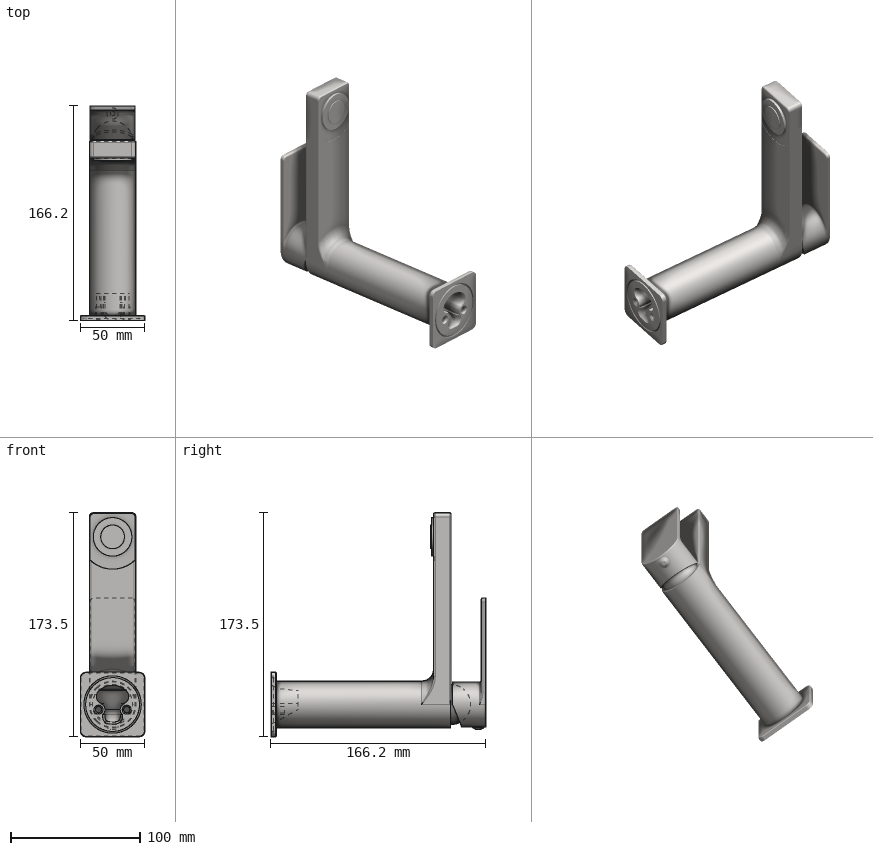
import cadquery as cq
import math

overall_y = 166.2
overall_z = 173.5

plate_side = 50.0
plate_thickness = 4.0
plate_corner_radius = 4.5
plate_chamfer = 0.5
groove_inner_radius = 20.8
groove_outer_radius = 22.2
groove_depth = 1.7

recess_radius = 15.0
recess_depth = 20.8
recess_ceiling_z = 10.8
ceiling_break_y = 7.0
ceiling_break_z = 12.1
sill_start_y = 19.0
sill_start_z = -5.0
sill_end_z = -3.8
ramp_end_y = 13.9
ramp_end_z = -7.6
outlet_half_width = 7.6
outlet_corner_radius = 5.2
passage_corner_radius = 3.5
outlet_depth = 4.2
outlet_taper = 22
outlet_inset = outlet_depth * math.tan(math.radians(outlet_taper))
outlet_floor_z = outlet_inset - recess_radius
passage_half_width = outlet_half_width - outlet_inset
lobe_corner_radius = 5.5

screw_spacing = 21.9
screw_z = -4.0
screw_boss_radius = 5.0
throat_inset = 1.7
shoulder_z = screw_z + screw_boss_radius - 0.3
screw_hole_radius = 2.5
screw_countersink = 1.0
screw_hole_depth = 10.4

tube_radius = 18.0
tube_end_y = 138.8
spout_top_z = overall_z - plate_side / 2
spout_back_y = 139.3
spout_front_y = 125.6
spout_corner_radius = 3.3
spout_edge_radius = 1.4
spout_flare_radius = 9.4

aerator_z = 129.8
aerator_flat_radius = 25.0
aerator_flat_y = 125.8
aerator_ring_radius = 15.0
aerator_ring_height = 1.9
aerator_disc_radius = 9.2
aerator_disc_height = 0.7

neck_radius = 15.6

handle_radius = 17.5
handle_front_y = 140.4
handle_undercut = 7.1
lever_thickness = 3.6
lever_front_y = overall_y - lever_thickness
lever_top_z = 82.5
lever_corner_radius = 3.3
lever_front_radius = 1.4
lever_back_radius = 0.7
lever_flare_radius = 1.2

button_y = 160.3
button_radius = 4.3
button_tip_radius = 1.7
button_height = 1.9
button_rim = 0.3


def neck_ball():
    """Sphere on the tube axis, turned about Y, shared by the neck and its socket."""
    return (
        cq.Workplane("XY")
        .moveTo(0, tube_end_y - neck_radius)
        .threePointArc((neck_radius, tube_end_y), (0, tube_end_y + neck_radius))
        .close()
        .revolve(360, (0, 0, 0), (0, 1, 0))
    )


class OutlineEdges(cq.Selector):
    """Edges round the front of an upright: along its sides, its tip and the flare at its foot."""

    def __init__(self, face_y, half_width):
        self.face_y = face_y
        self.half_width = half_width

    def filter(self, objectList):
        return [edge for edge in objectList if self.is_outline(edge.BoundingBox())]

    def is_outline(self, box):
        on_side = max(box.xmax, -box.xmin) > self.half_width - 0.02 and box.xmin * box.xmax > 0
        at_tip = box.zmin > 3 * self.half_width
        above_foot = box.zmax > 0.2
        return box.ymax < self.face_y + 0.02 and above_foot and (on_side or at_tip)


def rod(radius, start_y, end_y, x=0, z=0):
    """Cylinder along Y."""
    return cq.Workplane("XZ", origin=(x, start_y, z)).circle(radius).extrude(start_y - end_y)


def upright_flare(radius, face_y, flare_radius):
    """Concave fillet between a rod and the front of an upright tangent to its sides."""
    start_y = face_y - flare_radius
    outer_radius = radius + flare_radius
    mid_offset = flare_radius * (1 - math.sqrt(0.5))
    ring = (
        cq.Workplane("XY")
        .moveTo(0, start_y)
        .lineTo(radius, start_y)
        .threePointArc((radius + mid_offset, face_y - mid_offset), (outer_radius, face_y))
        .lineTo(outer_radius, face_y + flare_radius / 2)
        .lineTo(0, face_y + flare_radius / 2)
        .close()
        .revolve(360, (0, 0, 0), (0, 1, 0))
    )
    limits = cq.Workplane("XY").box(
        2 * radius, 3 * flare_radius, outer_radius, centered=(True, True, False)
    ).translate((0, face_y, 0))
    return ring.intersect(limits)


def wall_plate():
    plate = (
        cq.Workplane("XZ")
        .rect(plate_side, plate_side)
        .extrude(-plate_thickness)
        .edges("|Y")
        .fillet(plate_corner_radius)
        .faces(">Y")
        .edges()
        .chamfer(plate_chamfer)
    )
    groove = rod(groove_outer_radius, 0, groove_depth).cut(rod(groove_inner_radius, 0, groove_depth))
    return plate.cut(groove)


def inlet_recess():
    """Lobed opening whose ceiling and stepped floor close in with depth."""
    lobe_top = recess_radius - shoulder_z
    lobe = rod(recess_radius, 0, recess_depth).intersect(
        cq.Workplane("XY")
        .box(2 * recess_radius, recess_depth, lobe_top, centered=(True, False, False))
        .translate((0, 0, shoulder_z))
    )
    lobe = lobe.edges("|Y and <Z").edges("<X or >X").fillet(lobe_corner_radius)
    throat_width = screw_spacing - 2 * throat_inset
    throat = (
        cq.Workplane("XY")
        .box(throat_width, recess_depth, shoulder_z - ramp_end_z, centered=(True, False, False))
        .translate((0, 0, ramp_end_z))
    )
    outlet_outline = (
        cq.Sketch()
        .rect(2 * outlet_half_width, recess_radius)
        .vertices("<Y")
        .fillet(outlet_corner_radius)
    )
    outlet = (
        cq.Workplane("XZ", origin=(0, 0, -recess_radius / 2))
        .placeSketch(outlet_outline)
        .extrude(-outlet_depth, taper=outlet_taper)
    )
    passage = (
        cq.Workplane("XY")
        .box(2 * passage_half_width, recess_depth, recess_radius, centered=(True, False, False))
        .translate((0, 0, outlet_floor_z))
        .edges("|Y and <Z")
        .fillet(passage_corner_radius)
    )
    opening = lobe.union(throat).union(outlet).union(passage)
    for side in (-1, 1):
        opening = opening.cut(rod(screw_boss_radius, 0, recess_depth, side * screw_spacing / 2, screw_z))
    section = (
        cq.Workplane("YZ", origin=(-recess_radius, 0, 0))
        .polyline([
            (0, -recess_radius),
            (outlet_depth, outlet_floor_z),
            (ramp_end_y, ramp_end_z),
            (sill_start_y, sill_start_z),
            (recess_depth, sill_end_z),
            (recess_depth, recess_ceiling_z),
            (ceiling_break_y, ceiling_break_z),
            (0, recess_radius),
        ])
        .close()
        .extrude(2 * recess_radius)
    )
    return opening.intersect(section)


def screw_hole(x):
    hole = rod(screw_hole_radius, 0, screw_hole_depth)
    mouth = (
        cq.Workplane("XY")
        .polyline([
            (0, 0),
            (screw_hole_radius + screw_countersink, 0),
            (screw_hole_radius, screw_countersink),
            (0, screw_countersink),
        ])
        .close()
        .revolve(360, (0, 0, 0), (0, 1, 0))
    )
    return hole.union(mouth).translate((x, 0, screw_z))


def spout_blank():
    """Upright bar tangent to the tube, with its tip corners and back edges rounded."""
    return (
        cq.Workplane("XY")
        .box(2 * tube_radius, spout_back_y - spout_front_y, spout_top_z, centered=(True, False, False))
        .translate((0, spout_front_y, 0))
        .edges("|Y and >Z")
        .fillet(spout_corner_radius)
        .faces(">Y")
        .edges("not <Z")
        .fillet(spout_edge_radius)
    )


def aerator():
    ring_y = aerator_flat_y - aerator_ring_height
    ring = rod(aerator_ring_radius, aerator_flat_y, ring_y, z=aerator_z)
    disc = rod(aerator_disc_radius, ring_y, ring_y - aerator_disc_height, z=aerator_z)
    return ring.union(disc)


def make_faucet():
    body = spout_blank()
    body = body.union(upright_flare(tube_radius, spout_front_y, spout_flare_radius))
    body = body.union(rod(tube_radius, plate_thickness / 2, tube_end_y)).clean()
    body = body.edges(OutlineEdges(spout_front_y, tube_radius)).fillet(spout_edge_radius)
    body = body.cut(rod(aerator_flat_radius, aerator_flat_y, spout_front_y, z=aerator_z))
    body = body.union(aerator()).union(neck_ball())
    body = body.union(wall_plate()).cut(inlet_recess())
    for side in (-1, 1):
        body = body.cut(screw_hole(side * screw_spacing / 2))
    return body


def lever_blank():
    """Flat bar with rounded top corners and a semicircular lower end."""
    blade = (
        cq.Workplane("XY")
        .box(2 * handle_radius, lever_thickness, lever_top_z, centered=(True, False, False))
        .translate((0, lever_front_y, 0))
        .edges("|Y and >Z")
        .fillet(lever_corner_radius)
    )
    return blade.union(rod(handle_radius, lever_front_y, overall_y))


def button():
    """Low tapered button on the underside of the cap."""
    base_z = -handle_radius - button_rim
    tip_z = -handle_radius - button_height
    knob = (
        cq.Workplane("XZ")
        .moveTo(0, base_z / 2)
        .lineTo(button_radius, base_z / 2)
        .lineTo(button_radius, base_z)
        .lineTo(button_tip_radius, tip_z)
        .lineTo(0, tip_z)
        .close()
        .revolve(360, (0, 0, 0), (0, 1, 0))
    )
    return knob.translate((0, button_y, 0))


def make_handle():
    handle = lever_blank()
    handle = handle.union(upright_flare(handle_radius, lever_front_y, lever_flare_radius))
    handle = handle.union(rod(handle_radius, handle_front_y, overall_y)).clean()
    handle = handle.edges(OutlineEdges(lever_front_y, handle_radius)).fillet(lever_front_radius)
    handle = handle.faces(">Y").edges().fillet(lever_back_radius)
    undercut = (
        cq.Workplane("YZ", origin=(-2 * handle_radius, 0, 0))
        .polyline([
            (handle_front_y, 0),
            (handle_front_y + 2 * handle_undercut, -2 * handle_radius),
            (handle_front_y, -2 * handle_radius),
        ])
        .close()
        .extrude(4 * handle_radius)
    )
    return handle.cut(undercut).cut(neck_ball()).union(button())


faucet = make_faucet()
handle = make_handle()
result = cq.Compound.makeCompound([faucet.val(), handle.val()])